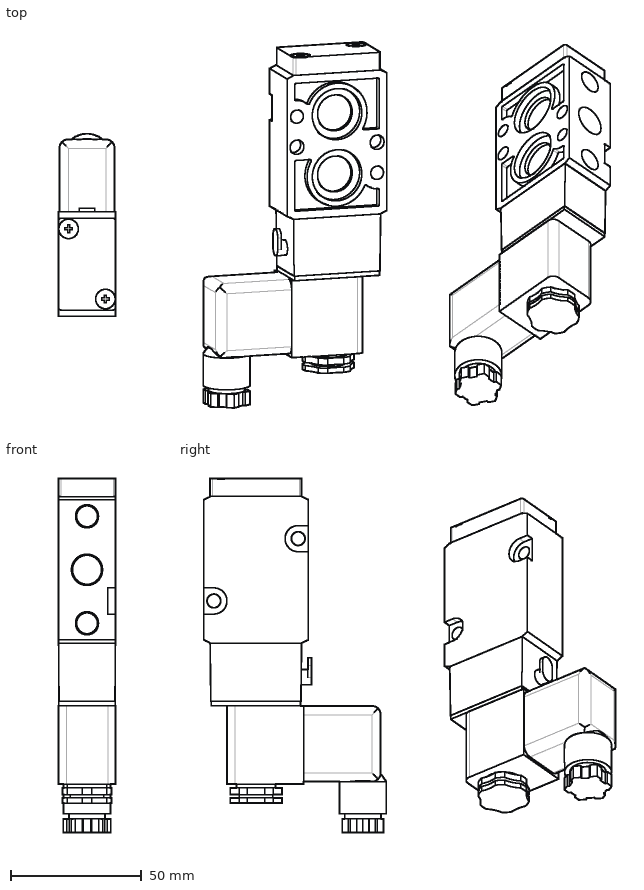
import cadquery as cq
import math

width = 22.0
total_depth = 70.0
overlap = 0.7

cap_top = 135.6
body_top = 128.7
body_bottom = 72.5
plate_top = 50.3
coil_top = 48.5
coil_bottom = 18.6

body_depth = 40.1
chamfer_depth = 2.6
chamfer_height = 1.2
mid_y = body_depth / 2
mid_z = (body_top + body_bottom) / 2

port_offset_z = 12.0
side_hole_offset_y = 16.1
step_outer_dia = 20.0
step_outer_depth = 2.7
step_inner_dia = 14.0
step_inner_depth = 4.3
screw_hole_dia = 5.2
screw_slot_width = 10.0
screw_slot_depth = 3.0
location_dia = 5.5
location_depth = 4.1
gasket_depth = 2.7
gasket_half_width = 17.0
gasket_outer_z = 25.0
gasket_inner_z = 5.2
gasket_port_radius = 12.1
gasket_screw_radius = 6.2
gasket_corner_radius = 0.5

front_port_pitch = 20.5
front_port_depth = 13.5
front_port_taper = 0.8
center_port_dia = 12.0
outer_port_dia = 8.8

cap_width = 21.8
cap_front = 2.5
cap_back = 37.5
cap_corner_radius = 1.0
head_dia = 7.5
head_recess = 0.3
head_offset_x = 7.0
head_offset_y = 13.4
cross_length = 3.0
cross_width = 0.8
cross_depth = 0.8

pilot_taper_x = 0.1
pilot_taper_y = 0.3
plate_width = 21.7
plate_inset_y = 0.4

lever_z = 59.5
lever_dia = 6.0
lever_back = 41.4
lever_flag_thickness = 1.5
lever_flag_top = 67.0

coil_front = 9.0
coil_back = 38.2
coil_corner_radius = 3.0
stem_dia = 15.0
stud_dia = 12.9
lobe_nut_dia = 20.0
lobe_count = 6
lobe_half_angle = 10.7
scallop_radius = 9.0
upper_nut_top = 17.1
upper_nut_height = 2.6
lower_nut_top = 13.3
lower_nut_height = 2.0

plug_width = 21.2
plug_back = 67.8
plug_bottom = 19.5
plug_round = 3.4
gland_dia = 18.0
gland_y = total_depth - gland_dia / 2
gland_bottom = 7.2
gland_cone_height = 2.7
gland_cone_inset = 1.9
neck_dia = 14.0
hex_sides = 6
hex_flats = 15.9
hex_height = 5.3
hex_notch_outer = 3.7
hex_notch_inner = 2.8
hex_notch_depth = 0.8


def block(x_size, y_min, y_max, z_min, z_max):
    """Box centred on x = 0 between the given Y and Z limits."""
    return (
        cq.Workplane("XY", origin=(0, (y_min + y_max) / 2, z_min))
        .box(x_size, y_max - y_min, z_max - z_min, centered=(True, True, False))
    )


def upright_cylinder(diameter, y, z_min, z_max):
    return cq.Workplane("XY", origin=(0, y, z_min)).circle(diameter / 2).extrude(z_max - z_min)


def side_bore(diameter, y, z, depth):
    """Cylinder running from the -X face into the part."""
    return cq.Workplane("YZ", origin=(-width / 2, y, z)).circle(diameter / 2).extrude(depth)


def polar(radius, degrees):
    angle = math.radians(degrees)
    return (radius * math.cos(angle), radius * math.sin(angle))


def valve_body():
    """Body with its four long edges along X chamfered."""
    y_front, y_back = chamfer_depth, body_depth - chamfer_depth
    z_low, z_high = body_bottom + chamfer_height, body_top - chamfer_height
    outline = [
        (y_front, body_bottom), (y_back, body_bottom), (body_depth, z_low), (body_depth, z_high),
        (y_back, body_top), (y_front, body_top), (0, z_high), (0, z_low),
    ]
    return cq.Workplane("YZ").polyline(outline).close().extrude(width / 2, both=True)


def gasket_pocket():
    """Upper pocket: a rectangle kept clear of the stepped port and of the back screw hole."""
    plane = cq.Workplane("YZ", origin=(-width / 2, mid_y, mid_z))
    pocket = (
        plane.center(0, (gasket_outer_z + gasket_inner_z) / 2)
        .rect(2 * gasket_half_width, gasket_outer_z - gasket_inner_z)
        .extrude(gasket_depth)
    )
    port_land = plane.center(0, port_offset_z).circle(gasket_port_radius).extrude(gasket_depth)
    screw_land = (
        plane.center(side_hole_offset_y, port_offset_z).circle(gasket_screw_radius).extrude(gasket_depth)
    )
    back_land = plane.rect(gasket_half_width, port_offset_z, centered=False).extrude(gasket_depth)
    pocket = pocket.cut(port_land).cut(screw_land).cut(back_land)
    return pocket.edges("|X").fillet(gasket_corner_radius)


def screw_slot():
    """Round-ended recess on the +X face around the front screw hole, open to the front."""
    y = mid_y - side_hole_offset_y
    plane = cq.Workplane("YZ", origin=(width / 2 - screw_slot_depth, y, mid_z - port_offset_z))
    round_end = plane.circle(screw_slot_width / 2).extrude(screw_slot_depth)
    mouth = plane.center(-y / 2, 0).rect(y, screw_slot_width).extrude(screw_slot_depth)
    return round_end.union(mouth)


def half_turn(shape):
    """Turn a shape by 180 degrees about the X axis through the middle of the port face."""
    return shape.rotate((0, mid_y, mid_z), (1, mid_y, mid_z), 180)


def stepped_port_cuts():
    """Stepped port, gasket pocket and back screw slot; a half turn gives the other set."""
    port_z = mid_z + port_offset_z
    cuts = side_bore(step_outer_dia, mid_y, port_z, step_outer_depth)
    cuts = cuts.union(side_bore(step_inner_dia, mid_y, port_z, step_inner_depth))
    return cuts.union(gasket_pocket()).union(half_turn(screw_slot()))


def side_holes():
    """Screw holes right through along X, on a diagonal, and blind location holes at mid height."""
    holes = cq.Workplane("YZ")
    for side in (-1, 1):
        y = mid_y + side * side_hole_offset_y
        holes = holes.add(side_bore(screw_hole_dia, y, mid_z + side * port_offset_z, width))
        holes = holes.add(side_bore(location_dia, y, mid_z, location_depth))
    return holes.combine()


def tapered_port(mouth_dia, z):
    """Blind port in the front face that narrows slightly towards its floor."""
    mouth = cq.Workplane("XZ", origin=(0, 0, z)).circle(mouth_dia / 2)
    floor = mouth.workplane(offset=-front_port_depth).circle((mouth_dia - front_port_taper) / 2)
    return floor.loft()


def front_ports():
    """Row of three ports, the middle one larger."""
    ports = tapered_port(center_port_dia, mid_z)
    for side in (-1, 1):
        ports = ports.union(tapered_port(outer_port_dia, mid_z + side * front_port_pitch))
    return ports


def end_cap():
    """Cap with rounded corners and two recessed cross-head screws on a diagonal."""
    cap = block(cap_width, cap_front, cap_back, body_top - overlap, cap_top)
    cap = cap.edges("|Z").fillet(cap_corner_radius)
    for side in (-1, 1):
        x = side * head_offset_x
        y = mid_y - side * head_offset_y
        plane = cq.Workplane("XY", origin=(x, y, cap_top - head_recess))
        cap = cap.cut(plane.circle(head_dia / 2).extrude(head_recess))
        cap = cap.cut(plane.rect(cross_length, cross_width).extrude(-cross_depth))
        cap = cap.cut(plane.rect(cross_width, cross_length).extrude(-cross_depth))
    return cap


def pilot_block():
    """Block narrowing slightly downwards on all sides, closed by a thin plate."""
    depth = cap_back - cap_front
    pilot = (
        cq.Workplane("XY", origin=(0, (cap_front + cap_back) / 2, plate_top))
        .rect(cap_width - 2 * pilot_taper_x, depth - 2 * pilot_taper_y)
        .workplane(offset=body_bottom - plate_top)
        .rect(cap_width, depth)
        .loft()
    )
    plate = block(plate_width, cap_front + plate_inset_y, cap_back - plate_inset_y, coil_top, plate_top)
    return pilot.union(plate)


def override_lever():
    """Round pin on the back of the pilot block with a flat round-ended flag on its end."""
    pin_front = cap_back - 2 * overlap
    pin = (
        cq.Workplane("XZ", origin=(0, pin_front, lever_z))
        .circle(lever_dia / 2)
        .extrude(pin_front - lever_back)
    )
    flag_bottom = lever_z - lever_dia / 2
    flag = (
        cq.Workplane("XZ", origin=(0, lever_back, (lever_flag_top + flag_bottom) / 2))
        .slot2D(lever_flag_top - flag_bottom, lever_dia, 90)
        .extrude(lever_flag_thickness)
    )
    return pin.union(flag)


def lobed_nut(z_top, height):
    """Six-lobed nut: lobe tips on a circle, joined by concave scallops."""
    radius = lobe_nut_dia / 2
    half_pitch = 180 / lobe_count
    nut = cq.Workplane("XY", origin=(0, mid_y, z_top - height))
    nut = nut.moveTo(*polar(radius, half_pitch - lobe_half_angle))
    for lobe in range(lobe_count):
        lobe_angle = (2 * lobe + 1) * half_pitch
        lobe_end = polar(radius, lobe_angle + lobe_half_angle)
        next_start = polar(radius, lobe_angle + 2 * half_pitch - lobe_half_angle)
        nut = nut.threePointArc(polar(radius, lobe_angle), lobe_end)
        nut = nut.threePointArc(polar(scallop_radius, lobe_angle + half_pitch), next_start)
    return nut.close().extrude(height)


def coil():
    """Coil housing with rounded front edges, and its stem and nuts below."""
    housing = block(width, coil_front, coil_back, coil_bottom, coil_top)
    housing = housing.edges("|Z and <Y").fillet(coil_corner_radius)
    stem = upright_cylinder(stem_dia, mid_y, upper_nut_top, coil_bottom)
    stud = upright_cylinder(stud_dia, mid_y, lower_nut_top, upper_nut_top)
    upper_nut = lobed_nut(upper_nut_top, upper_nut_height)
    lower_nut = lobed_nut(lower_nut_top, lower_nut_height)
    return housing.union(stem).union(stud).union(upper_nut).union(lower_nut)


def plug():
    """Connector housing: three crossing rounded profiles, so the rounds meet in mitred corners."""
    front = coil_back - overlap
    housing = block(plug_width, front, plug_back, plug_bottom, coil_top)
    rounded = housing.edges("|Y").fillet(plug_round)
    rounded = rounded.intersect(housing.edges("|X and >Y").fillet(plug_round))
    return rounded.intersect(housing.edges("|Z and >Y").fillet(plug_round))


def gland_nut():
    """Hexagonal nut with a corner along X and a tapered notch in the middle of each flat."""
    corner_dia = hex_flats / math.cos(math.pi / hex_sides)
    plane = cq.Workplane("XY", origin=(0, gland_y, 0))
    nut = plane.polygon(hex_sides, corner_dia).extrude(hex_height)
    flat = hex_flats / 2
    floor = flat - hex_notch_depth
    notch_outline = [
        (-hex_notch_inner / 2, floor), (hex_notch_inner / 2, floor),
        (hex_notch_outer / 2, flat), (-hex_notch_outer / 2, flat),
    ]
    notch = plane.polyline(notch_outline).close().extrude(hex_height)
    for side in range(hex_sides):
        nut = nut.cut(notch.rotate((0, gland_y, 0), (0, gland_y, 1), side * 360 / hex_sides))
    return nut


def cable_gland():
    """Round gland with a conical shoulder running up into the plug, a neck and the nut."""
    radius = gland_dia / 2
    profile = [
        (0, gland_bottom), (radius, gland_bottom), (radius, plug_bottom),
        (radius - gland_cone_inset, plug_bottom + gland_cone_height),
        (0, plug_bottom + gland_cone_height),
    ]
    gland = (
        cq.Workplane("XZ", origin=(0, gland_y, 0))
        .polyline(profile).close()
        .revolve(360, (0, 0, 0), (0, 1, 0))
    )
    neck = upright_cylinder(neck_dia, gland_y, hex_height, gland_bottom)
    return gland.union(neck).union(gland_nut())


port_cuts = stepped_port_cuts()
body = valve_body().cut(port_cuts).cut(half_turn(port_cuts)).cut(side_holes()).cut(front_ports())
result = body.union(end_cap()).union(pilot_block()).union(override_lever())
result = result.union(coil()).union(plug()).union(cable_gland())